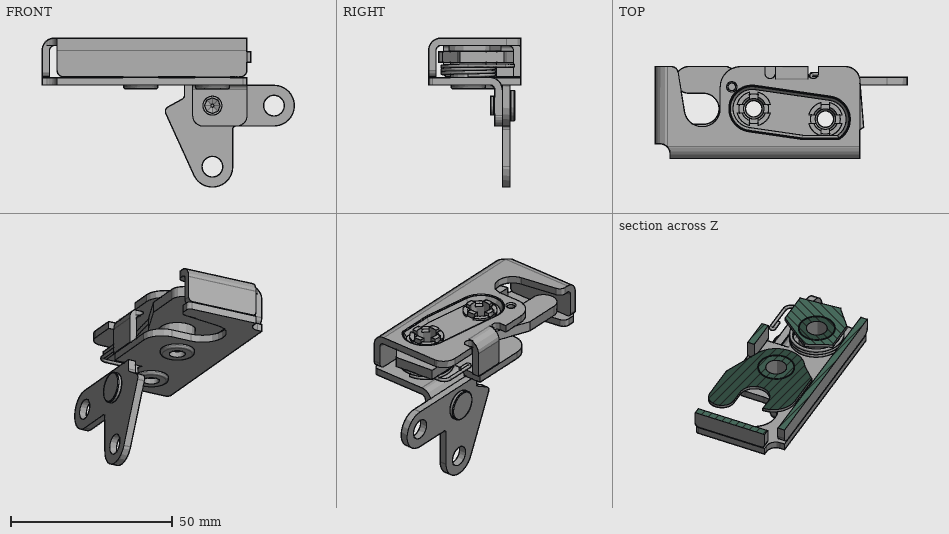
import cadquery as cq
import math

SHEET = 2.35
LENGTH = 63.5
WIDTH = 28.6
BEND_OUTER = 3.8
WALL_BOTTOM = -12.0
BASE_TOP = -12.3
BASE_BOTTOM = BASE_TOP - SHEET

ROTOR_X, ROTOR_Y = 30.6, 15.5
PAWL_X, PAWL_Y = 52.8, 12.3
STUD_CENTRES = [(ROTOR_X, ROTOR_Y), (PAWL_X, PAWL_Y)]

MOUTH_X = 14.6
COVER_MOUTH_RADIUS = 5.55
BASE_MOUTH_RADIUS = 7.35
MOUTH_LEAN = math.radians(9.3)
MOUTH_LIP_RADIUS = 2.2
MOUTH_CORNER_RADIUS = 6.5
CORNER_RELIEF = 4.6
CORNER_RELIEF_RADIUS = 3.1

RECESS_DEPTH = 1.65
RECESS_RIM_RADIUS = 6.95
RECESS_FLOOR_RADIUS = 5.95
RECESS_OVERHANG = 0.5
RECESS_RIM_FLAT = 6.3
RECESS_FLOOR_FLAT = 7.3
RECESS_LIP = 0.3
RECESS_LIP_DEPTH = 0.2
PAD_BOTTOM = -RECESS_DEPTH - SHEET

RELIEF_WIDTH = 3.2
RELIEF_BOTTOM = 24.85
LEFT_RELIEF_X = 35.65
RIGHT_RELIEF_X = 49.0
TAB_LEFT = LEFT_RELIEF_X + RELIEF_WIDTH / 2
TAB_RIGHT = RIGHT_RELIEF_X - RELIEF_WIDTH / 2

COVER_CORNER_RADIUS = 4.5
FRONT_WALL_CORNER = 2.0
LEFT_WALL_CORNER = 1.25
GAUGE_HOLE_X, GAUGE_HOLE_Y = 23.8, 22.3
GAUGE_HOLE_DIAMETER = 2.35
GAUGE_HOLE_RIM_DIAMETER = 3.2

BASE_CORNER_RADIUS = 1.25
LUG_LEFT = 46.7
LUG_FRONT = 20.5
LUG_BACK = LUG_FRONT + SHEET
LUG_BOTTOM = -27.3
LUG_BEND_INNER = 1.4
LUG_CORNER_RADIUS = 3.2

LAYER_TOP = -4.2
LAYER_THICKNESS = 3.4
LAYER_BOTTOM = LAYER_TOP - LAYER_THICKNESS
PIVOT_BORE = 11.3
STRIKER_SLOT = 9.5
STRIKER_SLOT_X = 15.0
ARM_END_X = 10.5
JAW_TIP_X = 11.1
JAW_FRONT = 3.1
ROTOR_HUB_RADIUS = 9.0
ARM_SHOULDER_X = 22.3
ARM_FOOT = (34.4, 23.6)
JAW_FOOT = (38.5, 11.3)
JAW_SHOULDER_X = 30.5
PAWL_BACK = 23.3
PAWL_FRONT = 4.3
PAWL_LEFT = 44.2
PAWL_RIGHT = 63.55
PAWL_TIP_X, PAWL_TIP_Y = 64.65, 9.8
PAWL_TIP_DROP = 0.8
PAWL_FRONT_HALF = 5.1

STUD_SHOULDER = 11.1
STUD_TUBE = 9.2
STUD_BORE = 6.3
STUD_HOLE = 5.0
STUD_HEAD = 10.6
STUD_HEAD_THICKNESS = 1.2
STUD_HEAD_ROUND = 0.7
STUD_CONE_TOP = -13.3
STAKE_DIAMETER = 10.6
STAKE_THICKNESS = 0.6
STAKE_CONE_DIAMETER = 7.65
STAKE_CONE_BOTTOM = -1.7
STUD_TAB_WIDTH = 2.65

LEVER_X = PAWL_X
LEVER_THICKNESS = 2.4
LEVER_END_RADIUS = 6.3
LEVER_HOLE = 6.3
LEVER_Z = BASE_BOTTOM - LEVER_END_RADIUS
LEVER_REACH = 78.2
LEVER_SIDE_X = LEVER_REACH - LEVER_END_RADIUS
LEVER_LOW_Z = -39.9
LEVER_LEFT = 44.1
LEVER_STEP_Z = -18.5
LEVER_NOSE_X, LEVER_NOSE_Z = 37.7, -22.05
LEVER_STEP_RADIUS = 1.3
LEVER_NOSE_RADIUS = 1.65
LEVER_INNER_RADIUS = 1.0
LEVER_BACK = LUG_BACK + LEVER_THICKNESS

RIVET_SHANK = 5.2
RIVET_HEAD = 5.9
RIVET_HEAD_THICKNESS = 0.9
RIVET_NECK = 0.3
RIVET_FLANGE = 9.5
RIVET_FLANGE_THICKNESS = 1.5
RIVET_FLANGE_CHAMFER = 0.27
RIVET_RECESS = 4.85
RIVET_RECESS_CENTRE = 1.0
RIVET_RECESS_DEPTH = 0.8
RIVET_RECESS_SIDES = 8

WIRE = 1.0
COIL_RADIUS = 8.0
COIL_GAP = 0.01
COIL_PITCH = WIRE + COIL_GAP
COIL_TURNS = 3
COIL_START_Z = -11.65
LEG_Y = 26.2
LEG_CORNER_RADIUS = 2.35
HOOK_X = 47.9 + WIRE
HOOK_RADIUS = 0.55
HOOK_LENGTH = 3.1


def cylinder(diameter, bottom, top, x=0.0, y=0.0):
    """Upright cylinder between two heights."""
    plane = cq.Workplane("XY").workplane(offset=bottom).center(x, y)
    return plane.circle(diameter / 2).extrude(top - bottom)


def block(x0, x1, y0, y1, z0, z1):
    """Box given by its limits."""
    return cq.Workplane("XY").box(x1 - x0, y1 - y0, z1 - z0, centered=False).translate((x0, y0, z0))


def bent_strip(plane, edge, inward, bend_outer, bottom, length):
    """L-section strip: flat on top, bent down at `edge`; `inward` is +1 or -1."""
    tangent = edge + inward * bend_outer
    inner_edge = edge + inward * SHEET
    outer_arc = bend_outer * (1 - math.sqrt(0.5))
    inner_arc = SHEET + (bend_outer - SHEET) * (1 - math.sqrt(0.5))
    return (
        cq.Workplane(plane)
        .moveTo(tangent, 0)
        .threePointArc((edge + inward * outer_arc, -outer_arc), (edge, -bend_outer))
        .lineTo(edge, bottom)
        .lineTo(inner_edge, bottom)
        .lineTo(inner_edge, -bend_outer)
        .threePointArc((edge + inward * inner_arc, -inner_arc), (tangent, -SHEET))
        .close()
        .extrude(length)
    )


def mouth_cutter(radius):
    """Striker mouth, open at the back edge, through the full height."""
    touch_x = MOUTH_X - radius * math.cos(MOUTH_LEAN)
    touch_y = ROTOR_Y - radius * math.sin(MOUTH_LEAN)
    top_x = touch_x - (WIDTH - touch_y) * math.tan(MOUTH_LEAN)
    return (
        cq.Workplane("XY")
        .moveTo(top_x, WIDTH)
        .lineTo(touch_x, touch_y)
        .threePointArc((MOUTH_X, ROTOR_Y - radius), (MOUTH_X + radius, ROTOR_Y))
        .lineTo(MOUTH_X + radius, WIDTH)
        .close()
        .extrude(BASE_BOTTOM)
    )


def cut_mouth(plate, radius):
    """Cut the mouth and round the two corners where it meets the back edge."""
    plate = plate.cut(mouth_cutter(radius))
    for x_direction, corner_radius in ((-1, MOUTH_LIP_RADIUS), (1, MOUTH_CORNER_RADIUS)):
        corner = cq.selectors.NearestToPointSelector((MOUTH_X + x_direction * radius, WIDTH, -SHEET / 2))
        plate = plate.edges("|Z").edges(corner).fillet(corner_radius)
    return plate


def corner_relief_cutter():
    """Square relief with a rounded inner corner at the front left corner."""
    relief = block(-0.8, CORNER_RELIEF, -0.8, CORNER_RELIEF, BASE_BOTTOM, 0)
    return relief.edges("|Z and >X and >Y").fillet(CORNER_RELIEF_RADIUS)


def stud_slot(radius, bottom, height, taper=0.0):
    """Slot-shaped prism that surrounds both stud centres."""
    dx = PAWL_X - ROTOR_X
    dy = PAWL_Y - ROTOR_Y
    slot_length = math.hypot(dx, dy) + 2 * (RECESS_OVERHANG + radius)
    return (
        cq.Workplane("XY")
        .workplane(offset=bottom)
        .center((ROTOR_X + PAWL_X) / 2, (ROTOR_Y + PAWL_Y) / 2)
        .slot2D(slot_length, 2 * radius, math.degrees(math.atan2(dy, dx)))
        .extrude(height, taper=taper)
    )


def sloped_form(radius, flat_y, depth, inset, flat_inset):
    """Sink whose sides move in by `inset`, and its flat front side by `flat_inset`, over `depth`."""
    form = stud_slot(radius, 0, -depth, math.degrees(math.atan2(inset, depth)))
    flat_side = (
        cq.Workplane("YZ")
        .polyline([(flat_y, 0), (flat_y + flat_inset, -depth), (WIDTH, -depth), (WIDTH, 0)])
        .close()
        .extrude(LENGTH)
    )
    return form.intersect(flat_side)


def recess_cutter():
    """Pressed recess with sloping sides, a flat front side and a bevelled lip."""
    wall = sloped_form(
        RECESS_RIM_RADIUS,
        RECESS_RIM_FLAT,
        RECESS_DEPTH,
        RECESS_RIM_RADIUS - RECESS_FLOOR_RADIUS,
        RECESS_FLOOR_FLAT - RECESS_RIM_FLAT,
    )
    lip = sloped_form(
        RECESS_RIM_RADIUS + RECESS_LIP, RECESS_RIM_FLAT - RECESS_LIP, RECESS_LIP_DEPTH, RECESS_LIP, RECESS_LIP
    )
    return wall.union(lip)


def make_cover():
    """Sheet cover: top with mouth and recess, front and left walls, and a back tab."""
    top = block(BEND_OUTER, LENGTH, BEND_OUTER, WIDTH, -SHEET, 0)
    top = cut_mouth(top, COVER_MOUTH_RADIUS)
    top = top.edges("|Z and >X and >Y").fillet(COVER_CORNER_RADIUS)

    top = top.cut(block(TAB_LEFT, TAB_RIGHT, WIDTH - BEND_OUTER, WIDTH, -SHEET, 0))
    for relief_x in (LEFT_RELIEF_X, RIGHT_RELIEF_X):
        end_y = RELIEF_BOTTOM + RELIEF_WIDTH / 2
        left = relief_x - RELIEF_WIDTH / 2
        top = top.cut(block(left, left + RELIEF_WIDTH, end_y, WIDTH, -SHEET, 0))
        top = top.cut(cylinder(RELIEF_WIDTH, -SHEET, 0, relief_x, end_y))
    tab = bent_strip("YZ", WIDTH, -1, BEND_OUTER, WALL_BOTTOM, TAB_RIGHT - TAB_LEFT)
    tab = tab.translate((TAB_LEFT, 0, 0))

    front = bent_strip("YZ", 0, 1, BEND_OUTER, WALL_BOTTOM, LENGTH - CORNER_RELIEF)
    front = front.translate((CORNER_RELIEF, 0, 0))
    front = front.edges("|Y and <Z").fillet(FRONT_WALL_CORNER)
    left = bent_strip("XZ", 0, 1, BEND_OUTER, WALL_BOTTOM, -(WIDTH - CORNER_RELIEF))
    left = left.translate((0, CORNER_RELIEF, 0))
    left = left.edges("|X and <Z").fillet(LEFT_WALL_CORNER)

    overlap = CORNER_RELIEF_RADIUS / 2
    overlap_start = CORNER_RELIEF - overlap
    front_end = bent_strip("YZ", 0, 1, BEND_OUTER, WALL_BOTTOM, overlap).translate((overlap_start, 0, 0))
    left_end = bent_strip("XZ", 0, 1, BEND_OUTER, WALL_BOTTOM, -overlap).translate((0, overlap_start, 0))
    top_layer = block(0, CORNER_RELIEF, 0, CORNER_RELIEF, -SHEET, 0)
    corner = front_end.union(left_end).intersect(top_layer).cut(corner_relief_cutter())
    cover = top.union(front).union(left).union(corner).union(tab)

    pad = stud_slot(RECESS_RIM_RADIUS, PAD_BOTTOM, -PAD_BOTTOM - SHEET)
    pad = pad.intersect(block(0, LENGTH, RECESS_RIM_FLAT, WIDTH, PAD_BOTTOM, 0))
    cover = cover.union(pad).cut(recess_cutter())

    for x, y in STUD_CENTRES:
        cover = cover.cut(cylinder(STUD_TUBE, PAD_BOTTOM, 0, x, y))
    gauge = cylinder(GAUGE_HOLE_DIAMETER, -SHEET, 0, GAUGE_HOLE_X, GAUGE_HOLE_Y)
    rim_width = (GAUGE_HOLE_RIM_DIAMETER - GAUGE_HOLE_DIAMETER) / 2
    rim_cone = cq.Solid.makeCone(
        GAUGE_HOLE_DIAMETER / 2,
        GAUGE_HOLE_RIM_DIAMETER / 2,
        rim_width,
        cq.Vector(GAUGE_HOLE_X, GAUGE_HOLE_Y, -rim_width),
    )
    return cover.cut(gauge).cut(cq.Workplane(rim_cone))


def make_base():
    """Base plate with the mouth, the corner relief and a lug bent down at the back right."""
    base = block(0, LENGTH, 0, WIDTH, BASE_BOTTOM, BASE_TOP)
    base = base.edges("|Z").edges("(<X and >Y) or (>X and <Y)").fillet(BASE_CORNER_RADIUS)
    base = cut_mouth(base, BASE_MOUTH_RADIUS).cut(corner_relief_cutter())

    bend_outer = LUG_BEND_INNER + SHEET
    base = base.cut(block(LUG_LEFT, LENGTH, LUG_BACK - bend_outer, WIDTH, BASE_BOTTOM, BASE_TOP))
    lug = bent_strip("YZ", LUG_BACK, -1, bend_outer, LUG_BOTTOM - BASE_TOP, LENGTH - LUG_LEFT)
    lug = lug.translate((LUG_LEFT, 0, BASE_TOP))
    lug = lug.edges("|Y and <Z").fillet(LUG_CORNER_RADIUS)
    base = base.union(lug)

    for x, y in STUD_CENTRES:
        base = base.cut(cylinder(STUD_TUBE, BASE_BOTTOM, BASE_TOP, x, y))
    shank_hole = cq.Workplane("XZ").center(LEVER_X, LEVER_Z).circle(RIVET_SHANK / 2).extrude(-WIDTH)
    return base.cut(shank_hole)


def layer_plate(outline):
    """Plate of the rotor and pawl layer from a list of corner points."""
    plane = cq.Workplane("XY").workplane(offset=LAYER_BOTTOM)
    return plane.polyline(outline).close().extrude(LAYER_THICKNESS)


def make_rotor():
    """Fork with an upper arm and a lower jaw either side of the striker slot."""
    jaw_back = ROTOR_Y - STRIKER_SLOT / 2
    slot_back = ROTOR_Y + STRIKER_SLOT / 2
    arm_radius = (WIDTH - slot_back) / 2
    arm_y = WIDTH - arm_radius
    jaw_radius = jaw_back - JAW_FRONT
    jaw_x = JAW_TIP_X + jaw_radius
    outline = [
        (ARM_END_X, WIDTH),
        (ARM_SHOULDER_X, WIDTH),
        ARM_FOOT,
        JAW_FOOT,
        (JAW_SHOULDER_X, JAW_FRONT),
        (jaw_x, JAW_FRONT),
        (jaw_x, jaw_back),
        (ARM_END_X, slot_back),
    ]
    body = layer_plate(outline)
    rotor = (
        body.union(cylinder(2 * ROTOR_HUB_RADIUS, LAYER_BOTTOM, LAYER_TOP, ROTOR_X, ROTOR_Y))
        .union(cylinder(2 * arm_radius, LAYER_BOTTOM, LAYER_TOP, ARM_END_X, arm_y))
        .union(cylinder(2 * jaw_radius, LAYER_BOTTOM, LAYER_TOP, jaw_x, jaw_back))
    )
    rotor = rotor.cut(block(0, STRIKER_SLOT_X, jaw_back, slot_back, LAYER_BOTTOM, LAYER_TOP))
    rotor = rotor.cut(cylinder(STRIKER_SLOT, LAYER_BOTTOM, LAYER_TOP, STRIKER_SLOT_X, ROTOR_Y))
    return rotor.cut(cylinder(PIVOT_BORE, LAYER_BOTTOM, LAYER_TOP, ROTOR_X, ROTOR_Y))


def make_pawl():
    """Catch plate on the second stud; its right edge leans out past the cover."""
    outline = [
        (PAWL_X, PAWL_BACK),
        (PAWL_RIGHT, PAWL_BACK),
        (PAWL_TIP_X, PAWL_TIP_Y),
        (PAWL_RIGHT, PAWL_TIP_Y - PAWL_TIP_DROP),
        (PAWL_X + PAWL_FRONT_HALF, PAWL_FRONT),
        (PAWL_X - PAWL_FRONT_HALF, PAWL_FRONT),
        (PAWL_LEFT, PAWL_Y),
    ]
    pawl = layer_plate(outline)
    return pawl.cut(cylinder(PIVOT_BORE, LAYER_BOTTOM, LAYER_TOP, PAWL_X, PAWL_Y))


def make_stud(x, y):
    """Hollow stud: head below the base, shoulder inside, end staked over the recess floor."""
    head_bottom = BASE_BOTTOM - STUD_HEAD_THICKNESS
    head = cylinder(STUD_HEAD, head_bottom, BASE_BOTTOM).faces("<Z").edges().fillet(STUD_HEAD_ROUND)
    stake_top = STAKE_THICKNESS - RECESS_DEPTH
    stake = cylinder(STAKE_DIAMETER, -RECESS_DEPTH, stake_top)
    stake = stake.intersect(recess_cutter().translate((-x, -y, 0)))

    half = STUD_TAB_WIDTH / 2
    reach = STAKE_DIAMETER / 2
    cross = block(-reach, reach, -half, half, STAKE_CONE_BOTTOM, 0)
    cross = cross.union(block(-half, half, -reach, reach, STAKE_CONE_BOTTOM, 0))
    stake = stake.cut(cross)
    stud = (
        head.union(cylinder(STUD_TUBE, BASE_BOTTOM, stake_top))
        .union(cylinder(STUD_SHOULDER, BASE_TOP, PAD_BOTTOM))
        .union(stake)
    )
    stake_cone = cq.Solid.makeCone(
        STUD_BORE / 2,
        STAKE_CONE_DIAMETER / 2,
        stake_top - STAKE_CONE_BOTTOM,
        cq.Vector(0, 0, STAKE_CONE_BOTTOM),
    )
    stud = stud.cut(cq.Workplane(stake_cone))

    tabs = cross.intersect(cylinder(STUD_TUBE, STAKE_CONE_BOTTOM, 0))
    stud = stud.union(tabs)

    seat_drop = (STUD_BORE - STUD_HOLE) / 2
    stud = stud.cut(cylinder(STUD_BORE, STUD_CONE_TOP, 0)).cut(cylinder(STUD_HOLE, head_bottom, 0))
    seat = cq.Solid.makeCone(
        STUD_HOLE / 2, STUD_BORE / 2, seat_drop, cq.Vector(0, 0, STUD_CONE_TOP - seat_drop)
    )
    return stud.cut(cq.Workplane(seat)).translate((x, y, 0))


def make_lever():
    """Plate with two holed arms at a right angle and a nose on the left."""
    low_dx = LEVER_X - LEVER_NOSE_X
    low_dz = LEVER_LOW_Z - LEVER_NOSE_Z
    to_centre = math.atan2(low_dz, low_dx)
    half_angle = math.asin(LEVER_END_RADIUS / math.hypot(low_dx, low_dz))
    normal = to_centre - half_angle - math.pi / 2
    tangent_x = LEVER_X + LEVER_END_RADIUS * math.cos(normal)
    tangent_z = LEVER_LOW_Z + LEVER_END_RADIUS * math.sin(normal)
    right = LEVER_X + LEVER_END_RADIUS
    arm_bottom = LEVER_Z - LEVER_END_RADIUS
    lever = (
        cq.Workplane("XZ", origin=(0, LEVER_BACK, 0))
        .moveTo(LEVER_LEFT, BASE_BOTTOM)
        .lineTo(LEVER_SIDE_X, BASE_BOTTOM)
        .threePointArc((LEVER_REACH, LEVER_Z), (LEVER_SIDE_X, arm_bottom))
        .lineTo(right, arm_bottom)
        .lineTo(right, LEVER_LOW_Z)
        .threePointArc((LEVER_X, LEVER_LOW_Z - LEVER_END_RADIUS), (tangent_x, tangent_z))
        .lineTo(LEVER_NOSE_X, LEVER_NOSE_Z)
        .lineTo(LEVER_LEFT, LEVER_STEP_Z)
        .close()
        .extrude(LEVER_THICKNESS)
    )
    rounds = [
        (LEVER_NOSE_X, LEVER_NOSE_Z, LEVER_NOSE_RADIUS),
        (LEVER_LEFT, LEVER_STEP_Z, LEVER_STEP_RADIUS),
        (right, arm_bottom, LEVER_INNER_RADIUS),
    ]
    for x, z, radius in rounds:
        corner = cq.selectors.NearestToPointSelector((x, LEVER_BACK - LEVER_THICKNESS / 2, z))
        lever = lever.edges("|Y").edges(corner).fillet(radius)
    holes = [
        (LEVER_SIDE_X, LEVER_Z, LEVER_HOLE),
        (LEVER_X, LEVER_LOW_Z, LEVER_HOLE),
        (LEVER_X, LEVER_Z, RIVET_SHANK),
    ]
    for x, z, diameter in holes:
        hole = cq.Workplane("XZ", origin=(x, WIDTH, z)).circle(diameter / 2).extrude(WIDTH)
        lever = lever.cut(hole)
    return lever


def make_rivet():
    """Lever pivot: flange behind the lever, staked head with a faceted dimple in front of the lug."""
    neck_front = LUG_FRONT - RIVET_NECK
    head_front = neck_front - RIVET_HEAD_THICKNESS

    def disc(diameter, front, back):
        return cq.Workplane("XZ", origin=(LEVER_X, back, LEVER_Z)).circle(diameter / 2).extrude(back - front)

    flange = disc(RIVET_FLANGE, LEVER_BACK, LEVER_BACK + RIVET_FLANGE_THICKNESS)
    flange = flange.faces("<Y or >Y").edges().chamfer(RIVET_FLANGE_CHAMFER)
    shank = disc(RIVET_SHANK, neck_front, LEVER_BACK)
    head = disc(RIVET_HEAD, head_front, neck_front)
    rivet = flange.union(shank).union(head)
    dimple = (
        cq.Workplane("XZ", origin=(LEVER_X, head_front, LEVER_Z))
        .polygon(RIVET_RECESS_SIDES, RIVET_RECESS)
        .workplane(offset=-RIVET_RECESS_DEPTH)
        .polygon(RIVET_RECESS_SIDES, RIVET_RECESS_CENTRE)
        .loft(ruled=True)
    )
    return rivet.cut(dimple)


def make_spring():
    """Torsion spring: coil round the pawl stud, and one leg that ends in a hairpin hook."""
    coil_height = COIL_PITCH * COIL_TURNS
    helix = cq.Workplane(cq.Wire.makeHelix(COIL_PITCH, coil_height, COIL_RADIUS))
    coil = cq.Workplane("XZ").center(COIL_RADIUS, 0).circle(WIRE / 2).sweep(helix, isFrenet=True)
    coil = coil.translate((PAWL_X, PAWL_Y, COIL_START_Z))

    leg_z = COIL_START_Z + coil_height
    leg_x = PAWL_X + COIL_RADIUS
    bend = LEG_CORNER_RADIUS * (1 - math.sqrt(0.5))
    path = (
        cq.Workplane("XY", origin=(0, 0, leg_z))
        .moveTo(leg_x, PAWL_Y)
        .lineTo(leg_x, LEG_Y - LEG_CORNER_RADIUS)
        .threePointArc((leg_x - bend, LEG_Y - bend), (leg_x - LEG_CORNER_RADIUS, LEG_Y))
        .lineTo(HOOK_X, LEG_Y)
        .threePointArc((HOOK_X - HOOK_RADIUS, LEG_Y - HOOK_RADIUS), (HOOK_X, LEG_Y - 2 * HOOK_RADIUS))
        .lineTo(HOOK_X + HOOK_LENGTH, LEG_Y - 2 * HOOK_RADIUS)
    )
    leg = cq.Workplane("XZ", origin=(leg_x, PAWL_Y, leg_z)).circle(WIRE / 2).sweep(path)
    return coil.union(leg)


cover = make_cover()
base = make_base()
rotor = make_rotor()
pawl = make_pawl()
studs = [make_stud(x, y) for x, y in STUD_CENTRES]
lever = make_lever()
rivet = make_rivet()
spring = make_spring()

result = cq.Compound.makeCompound(
    [
        cover.val(),
        base.val(),
        rotor.val(),
        pawl.val(),
        *[stud.val() for stud in studs],
        lever.val(),
        rivet.val(),
        spring.val(),
    ]
)